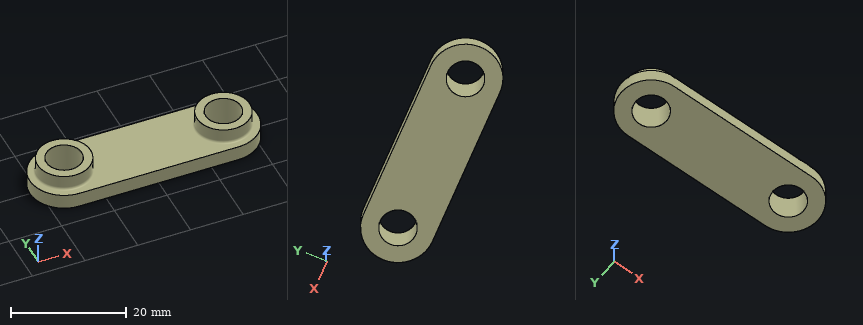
import cadquery as cq

length = 43.25
width = 13.0
plate_thickness = 3.0
total_height = 6.0

boss_diameter = 10.0
bore_diameter = 6.65
boss_fillet = 0.5

hole_spacing = length - width
boss_height = total_height - plate_thickness
boss_centers = [(-hole_spacing / 2, 0), (hole_spacing / 2, 0)]


def make_plate():
    return cq.Workplane("XY").slot2D(length, width).extrude(plate_thickness)


def add_bosses(body):
    """Raise a boss at each end, blended into the plate by a root fillet."""
    bosses = (
        cq.Workplane("XY", origin=(0, 0, plate_thickness))
        .pushPoints(boss_centers)
        .circle(boss_diameter / 2)
        .extrude(boss_height)
    )
    body = body.union(bosses)
    root_edges = body.faces(">Z[-2]").edges(cq.selectors.RadiusNthSelector(0))
    return root_edges.fillet(boss_fillet)


def cut_bores(body):
    bores = (
        cq.Workplane("XY")
        .pushPoints(boss_centers)
        .circle(bore_diameter / 2)
        .extrude(total_height)
    )
    return body.cut(bores)


result = cut_bores(add_bosses(make_plate()))